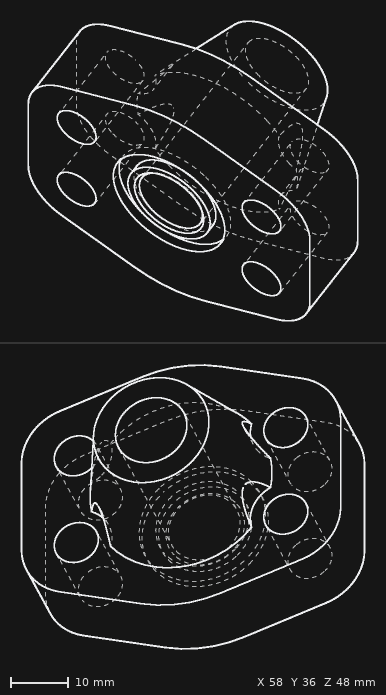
import cadquery as cq
import math

width = 58.0
crown_radius = 24.0
plate_thickness = 16.0

corner_radius = 10.0
bolt_x = width / 2 - corner_radius
bolt_z = 8.75
bolt_hole_diameter = 8.0
bolt_head_clearance_radius = 6.45

neck_length = 20.0
neck_base_radius = 16.55
neck_end_radius = 10.5

bore_radius = 6.5
bore_chamfer = 0.65
groove_outer_radius = 11.5
groove_inner_radius = 8.45
groove_depth = 1.9

bolt_points = [(sx * bolt_x, sz * bolt_z) for sx in (-1, 1) for sz in (-1, 1)]
total_depth = plate_thickness + neck_length


def front_plane(y):
    """XZ sketch plane at depth y; positive extrusion goes toward -Y."""
    return cq.Workplane("XZ", origin=(0, y, 0))


def polar(center, radius, angle):
    return (center[0] + radius * math.cos(angle), center[1] + radius * math.sin(angle))


def make_plate():
    center_distance = math.hypot(bolt_x, bolt_z)
    tangent = math.atan2(bolt_z, bolt_x) + math.acos((crown_radius - corner_radius) / center_distance)
    corner_center = (bolt_x, bolt_z)
    crown_x, crown_z = polar((0, 0), crown_radius, tangent)
    corner_x, corner_z = polar(corner_center, corner_radius, tangent)
    mid_x, mid_z = polar(corner_center, corner_radius, tangent / 2)
    outline = (
        front_plane(plate_thickness)
        .moveTo(width / 2, -bolt_z)
        .lineTo(width / 2, bolt_z)
        .threePointArc((mid_x, mid_z), (corner_x, corner_z))
        .lineTo(crown_x, crown_z)
        .threePointArc((0, crown_radius), (-crown_x, crown_z))
        .lineTo(-corner_x, corner_z)
        .threePointArc((-mid_x, mid_z), (-width / 2, bolt_z))
        .lineTo(-width / 2, -bolt_z)
        .threePointArc((-mid_x, -mid_z), (-corner_x, -corner_z))
        .lineTo(-crown_x, -crown_z)
        .threePointArc((0, -crown_radius), (crown_x, -crown_z))
        .lineTo(corner_x, -corner_z)
        .threePointArc((mid_x, -mid_z), (width / 2, -bolt_z))
        .close()
    )
    return outline.extrude(plate_thickness)


def make_neck():
    neck = cq.Workplane(cq.Solid.makeCone(
        neck_base_radius, neck_end_radius, neck_length,
        pnt=cq.Vector(0, plate_thickness, 0), dir=cq.Vector(0, 1, 0),
    ))
    bolt_heads = (
        front_plane(total_depth).pushPoints(bolt_points)
        .circle(bolt_head_clearance_radius).extrude(neck_length)
    )
    return neck.cut(bolt_heads)


def make_bore():
    bore = front_plane(total_depth).circle(bore_radius).extrude(total_depth)
    chamfer = cq.Workplane(cq.Solid.makeCone(
        bore_radius + bore_chamfer, bore_radius, bore_chamfer,
        pnt=cq.Vector(0, 0, 0), dir=cq.Vector(0, 1, 0),
    ))
    return bore.union(chamfer)


def make_bolt_holes():
    return (
        front_plane(plate_thickness).pushPoints(bolt_points)
        .circle(bolt_hole_diameter / 2).extrude(plate_thickness)
    )


def make_seal_groove():
    return (
        front_plane(groove_depth)
        .circle(groove_outer_radius).circle(groove_inner_radius).extrude(groove_depth)
    )


result = (
    make_plate()
    .union(make_neck())
    .cut(make_bore())
    .cut(make_bolt_holes())
    .cut(make_seal_groove())
)